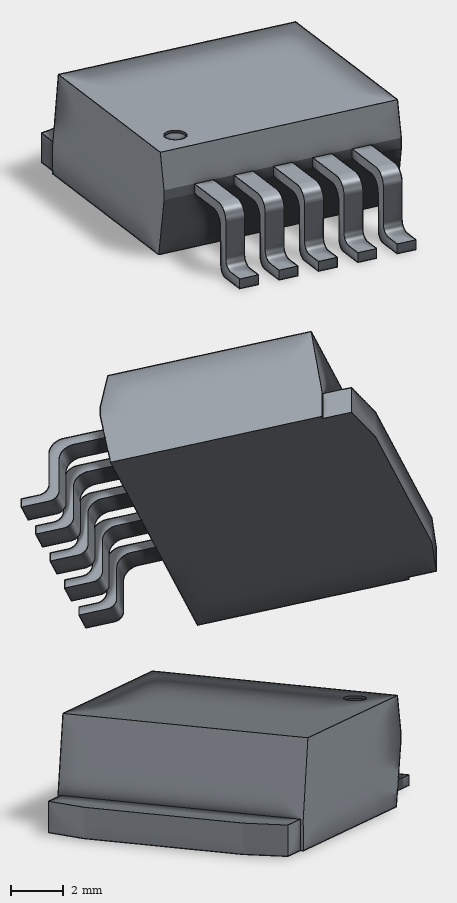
import cadquery as cq

total_length = 14.0
total_height = 4.4

body_width = 10.22
side_draft = 0.007
body_bottom = 0.1
body_front = 1.53
body_top_front = 1.96
body_back = 10.4
body_top_back = 10.1
body_bottom_back = 9.98

tab_top = 1.32
tab_width = 9.97
tab_front_width = 6.64
tab_corner_length = 0.39

lead_count = 5
lead_pitch = 1.7
lead_width = 0.81
lead_thickness = 0.4
lead_top = 2.93
lead_drop_back = 12.9
shoulder_radius = 0.59
foot_radius = 0.39
lead_bottom = lead_top - lead_thickness
lead_drop_front = lead_drop_back - lead_thickness

mark_x = 8.97
mark_y = -3.85
mark_diameter = 0.87
mark_depth = 0.1


def make_side_limits():
    """Long bar whose slightly drafted sides lean inward toward the top of the body."""
    bottom_half_width = body_width / 2
    top_half_width = bottom_half_width - side_draft
    section = [
        (-bottom_half_width, body_bottom),
        (bottom_half_width, body_bottom),
        (top_half_width, total_height),
        (-top_half_width, total_height),
    ]
    return cq.Workplane("YZ").polyline(section).close().extrude(total_length)


def make_body():
    """Body with a sloped front and a back that tapers away above and below the leads."""
    outline = [
        (body_front, body_bottom),
        (body_bottom_back, body_bottom),
        (body_back, lead_bottom),
        (body_back, lead_top),
        (body_top_back, total_height),
        (body_top_front, total_height),
        (body_front, tab_top),
    ]
    block = cq.Workplane("XZ").polyline(outline).close().extrude(body_width / 2, both=True)
    return block.intersect(make_side_limits())


def make_tab():
    """Flat tab with two slanted front corners, ending at the front of the body."""
    outline = [
        (0, -tab_front_width / 2),
        (tab_corner_length, -tab_width / 2),
        (body_front, -tab_width / 2),
        (body_front, tab_width / 2),
        (tab_corner_length, tab_width / 2),
        (0, tab_front_width / 2),
    ]
    return (
        cq.Workplane("XY", origin=(0, 0, body_bottom))
        .polyline(outline)
        .close()
        .extrude(tab_top - body_bottom)
    )


def make_lead(y):
    """Z-shaped lead centred on y: out of the body, down, and out again as a foot."""
    return (
        cq.Workplane("XZ", origin=(0, y, 0))
        .moveTo(body_back, lead_top)
        .lineTo(lead_drop_back - shoulder_radius, lead_top)
        .radiusArc((lead_drop_back, lead_top - shoulder_radius), shoulder_radius)
        .lineTo(lead_drop_back, lead_thickness + foot_radius)
        .radiusArc((lead_drop_back + foot_radius, lead_thickness), -foot_radius)
        .lineTo(total_length, lead_thickness)
        .lineTo(total_length, 0)
        .lineTo(lead_drop_front + foot_radius, 0)
        .radiusArc((lead_drop_front, foot_radius), foot_radius)
        .lineTo(lead_drop_front, lead_bottom - shoulder_radius)
        .radiusArc((lead_drop_front - shoulder_radius, lead_bottom), -shoulder_radius)
        .lineTo(body_back, lead_bottom)
        .close()
        .extrude(lead_width / 2, both=True)
    )


def make_mark():
    """Shallow disc cut from the top face."""
    return (
        cq.Workplane("XY", origin=(mark_x, mark_y, total_height - mark_depth))
        .circle(mark_diameter / 2)
        .extrude(mark_depth)
    )


result = make_body().union(make_tab())
for index in range(lead_count):
    lead_y = (index - (lead_count - 1) / 2) * lead_pitch
    result = result.union(make_lead(lead_y))
result = result.cut(make_mark())